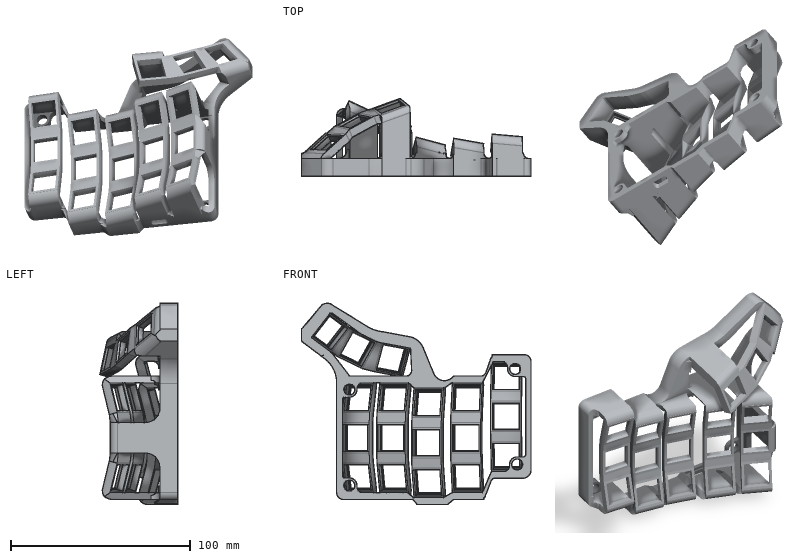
import cadquery as cq
import math

PLATE = 17.0
PLATE_THICK = 5.0
SWITCH_HOLE = 14.0
RECESS = 15.0
CLIP_THICK = 1.5
HALF = PLATE / 2

COLUMNS = [
    ((30.0, 29.5, 37.17), -25),
    ((49.8, 21.5, 37.17), -20),
    ((69.5, 10.1, 34.42), -15),
    ((91.4, 10.0, 37.17), -10),
    ((113.7, 12.95, 49.05), -5),
]
ROW_ANGLE = 15.0
COLUMN_RADIUS = 86.4
WALL = 3.85
ROW_SIN = math.sin(math.radians(ROW_ANGLE))
ROW_COS = math.cos(math.radians(ROW_ANGLE))
COLUMN_OVERHANG = (WALL + PLATE_THICK * ROW_SIN) / ROW_COS
COLUMN_REACH = COLUMN_RADIUS * ROW_SIN + HALF * ROW_COS

THUMB_KEYS = [
    ((16.25, 14.9, 95.6), 42.3, 28.7, 25.8),
    ((31.1, 26.2, 86.4), 28.4, 23.3, 18.7),
    ((50.6, 34.25, 80.5), 20.0, 10.0, 16.0),
]
THUMB_OVERHANG = 5.25

RIM_DEPTH = 10.0
EDGE_ROUND = 5.0
LEFT_THUMB_ROUND = 7.0
UPPER_THUMB_ROUND = 4.0
LEAN = 1.0
WALL_FILLET = 3.0
FIRST_WALL_FILLET = 5.0
FAR = 60.0
FLATNESS = 1e-4
CUT_MARGIN = 0.5

OPENING_LEFT = 22.9
OPENING_RIGHT = 124.8

LEFT_SIDE = 19.55
RIGHT_SIDE = 127.86
LEFT_WALL_X = (LEFT_SIDE, OPENING_LEFT)
LEFT_WALL_ROUND_RISE = 4.0
LEFT_WALL_WEB_TIP = 0.4
LEFT_WALL_FILLET = 8.0

SCREW_HOLE = 6.0
BOSS_RADIUS = 4.3
BOSS_LONG_COVE = 2.4
BOSS_SHORT_COVE = 1.2
LEFT_BOSS_DEPTH = 2.7
RIGHT_BOSS_DEPTH = 4.5

BOARD_SLOT_X = (42.4, 59.0)
BOARD_SLOT_Y = (2.2, 5.8)
BOARD_SLOT_DEPTH = 1.5
PORT_X = (47.5, 56.5)
PORT_Y = (3.0, 7.7)
PORT_ROUND = 1.5
FLOOR_Z = COLUMNS[0][0][2] - COLUMN_REACH
UPPER_Z = COLUMNS[0][0][2] + COLUMN_REACH
LAST_FLOOR_Z = COLUMNS[4][0][2] - COLUMN_REACH
LAST_UPPER_Z = COLUMNS[4][0][2] + COLUMN_REACH

TOP_EDGE = ((-HALF, HALF), (HALF, HALF))
BOTTOM_EDGE = ((-HALF, -HALF), (HALF, -HALF))
LEFT_EDGE = ((-HALF, -HALF), (-HALF, HALF))
RIGHT_EDGE = ((HALF, -HALF), (HALF, HALF))

SCREWS = [
    ((26.7, 64.0), (OPENING_LEFT, UPPER_Z), LEFT_BOSS_DEPTH),
    ((26.7, 10.6), (OPENING_LEFT, FLOOR_Z), LEFT_BOSS_DEPTH),
    ((119.0, 75.5), (OPENING_RIGHT, LAST_UPPER_Z), RIGHT_BOSS_DEPTH),
    ((120.1, 22.3), (OPENING_RIGHT, LAST_FLOOR_Z), RIGHT_BOSS_DEPTH),
]


def key_frame(center, yaw, roll=0.0, pitch=0.0):
    """Frame of a key plate: local x across, local y up, local z out of the inner face."""
    cy, sy = math.cos(math.radians(yaw)), math.sin(math.radians(yaw))
    cr, sr = math.cos(math.radians(roll)), math.sin(math.radians(roll))
    cp, sp = math.cos(math.radians(pitch)), math.sin(math.radians(pitch))
    across = cq.Vector(cy * cr, sy * cr, -sr)
    up = cq.Vector(cy * sr * cp + sy * sp, sy * sr * cp - cy * sp, cr * cp)
    return cq.Plane(origin=center, xDir=across, normal=across.cross(up))


def column_frames(center, yaw):
    """Frames of the lower, middle and upper key of a finger column."""
    frames = []
    for row in (-1, 0, 1):
        turn = math.radians(row * ROW_ANGLE)
        back = COLUMN_RADIUS * (1 - math.cos(turn))
        rise = COLUMN_RADIUS * math.sin(turn)
        x = center[0] - back * math.sin(math.radians(yaw))
        y = center[1] + back * math.cos(math.radians(yaw))
        frames.append(key_frame((x, y, center[2] + rise), yaw, pitch=-row * ROW_ANGLE))
    return frames


finger_columns = [column_frames(center, yaw) for center, yaw in COLUMNS]
thumb_frames = [key_frame(*key) for key in THUMB_KEYS]
all_frames = [frame for column in finger_columns for frame in column] + thumb_frames


def at(frame, x, up, depth=0.0):
    """Point on a plate, `depth` behind its inner face."""
    return frame.toWorldCoords((x, up, -depth))


def solid_between(first, second):
    """Solid whose two ends are matching convex polygons, joined by flat or ruled sides."""
    def polygon(points):
        return cq.Face.makeFromWires(cq.Wire.makePolygon(points, close=True))

    def is_flat(quad):
        normal = (quad[1] - quad[0]).cross(quad[3] - quad[0]).normalized()
        return abs(normal.dot(quad[2] - quad[0])) < FLATNESS

    faces = [polygon(first), polygon(second)]
    for i in range(len(first)):
        j = (i + 1) % len(first)
        quad = [first[i], first[j], second[j], second[i]]
        if is_flat(quad):
            faces.append(polygon(quad))
        else:
            faces.append(cq.Face.makeRuledSurface(
                cq.Edge.makeLine(first[i], first[j]), cq.Edge.makeLine(second[i], second[j])
            ))
    solid = cq.Solid.makeSolid(cq.Shell.makeShell(faces))
    return cq.Workplane(solid.fix())


def plate_blank(frame):
    return cq.Workplane(frame).rect(PLATE, PLATE).extrude(-PLATE_THICK)


def plate_opening(frame):
    hole = cq.Workplane(frame).rect(SWITCH_HOLE, SWITCH_HOLE).extrude(-PLATE_THICK)
    recess = cq.Workplane(frame).rect(RECESS, RECESS).extrude(CLIP_THICK - PLATE_THICK)
    return hole.union(recess)


def side_face(frame, corners):
    """Corners of a plate's side face between two points of its outline."""
    (xa, ua), (xb, ub) = corners
    inner = [at(frame, xa, ua), at(frame, xb, ub)]
    return inner + [at(frame, xb, ub, PLATE_THICK), at(frame, xa, ua, PLATE_THICK)]


def edge_rounding(start, end, dir_a, dir_b, radius):
    """Cutter that rounds the straight outer edge between two faces running along dir_a and dir_b."""
    along = (end - start).normalized()
    ta = (dir_a - along * dir_a.dot(along)).normalized()
    tb = (dir_b - along * dir_b.dot(along)).normalized()
    half_angle = ta.getAngle(tb) / 2
    bisector = (ta + tb).normalized()
    overlap = PLATE_THICK
    start = start - along * overlap
    tangent = radius / math.tan(half_angle)
    mid = start + bisector * (radius / math.sin(half_angle) - radius)
    a, b = start + ta * tangent, start + tb * tangent
    tip = start - bisector * CUT_MARGIN
    edges = [
        cq.Edge.makeThreePointArc(a, mid, b),
        cq.Edge.makeLine(b, tip),
        cq.Edge.makeLine(tip, a),
    ]
    section = cq.Wire.assembleEdges(edges)
    length = (end - start).dot(along) + overlap
    return cq.Workplane(cq.Solid.extrudeLinear(section, [], along * length))


def wall(frame, inner, outer, inward, radius=EDGE_ROUND):
    """Wall running from a plate's edge to the base plane, with a rounded outer edge.

    `inner` is the plate's edge on the inner face, `outer` the corner line on the outer face,
    `inward` the local direction from the corner line back over the plate.
    """
    (ia, ib), (oa, ob) = inner, outer
    pa, pb = at(frame, *ia), at(frame, *ib)
    ba, bb = at(frame, *ia, PLATE_THICK), at(frame, *ib, PLATE_THICK)
    ca, cb = at(frame, *oa, PLATE_THICK), at(frame, *ob, PLATE_THICK)
    miter = [pa, pb, cb, ca]
    foot = [cq.Vector(p.x, 0, p.z) for p in miter]
    body = solid_between(miter, foot)
    wedge = solid_between([pa, ba, ca], [pb, bb, cb])
    back_over_plate = frame.toWorldCoords(inward) - frame.origin
    rounding = edge_rounding(ca, cb, back_over_plate, cq.Vector(0, -1, 0), radius)
    return body.union(wedge).cut(rounding)


def level_wall(frame, side, overhang, radius=EDGE_ROUND):
    """Wall on the upper (side = 1) or lower (side = -1) edge of a plate."""
    edge, corner = side * HALF, side * (HALF + overhang)
    return wall(
        frame,
        ((-HALF, edge), (HALF, edge)),
        ((-HALF, corner), (HALF, corner)),
        (0, -side, 0),
        radius,
    )


def chain(frames, first_edge, second_edge):
    """Plates of a row of keys and the links that join them."""
    body = plate_blank(frames[0])
    for before, after in zip(frames, frames[1:]):
        link = solid_between(side_face(before, first_edge), side_face(after, second_edge))
        body = body.union(link).union(plate_blank(after))
    return body


def outline_prism(outline, depth):
    """Extrude an XZ outline from the base plane to y = depth."""
    return outline.extrude(-depth)


def rim_outline():
    """Outer outline of the rim."""
    return (
        cq.Workplane("XZ")
        .moveTo(0, 90.9).lineTo(0, 97.65).lineTo(11.3, 111.0)
        .threePointArc((14.1, 112.07), (17.6, 110.9))
        .lineTo(37.6, 98.6)
        .threePointArc((40.9, 97.2), (45.2, 96.2))
        .lineTo(61.1, 93.3)
        .threePointArc((65.6, 90.6), (68.3, 86.1))
        .lineTo(73.6, 73.3)
        .threePointArc((78.6, 69.1), (84.7, UPPER_Z + WALL))
        .lineTo(100.0, UPPER_Z + WALL)
        .threePointArc((101.8, 72.3), (102.8, 74.0))
        .lineTo(105.1, 80.6)
        .threePointArc((106.5, 82.7), (108.9, LAST_UPPER_Z + WALL))
        .lineTo(124.0, LAST_UPPER_Z + WALL)
        .threePointArc((126.73, 82.37), (RIGHT_SIDE, 79.6))
        .lineTo(RIGHT_SIDE, 19.2)
        .threePointArc((126.54, 16.02), (123.3, LAST_FLOOR_Z - WALL))
        .lineTo(107.8, LAST_FLOOR_Z - WALL)
        .threePointArc((106.5, 14.2), (105.6, 13.0))
        .lineTo(102.4, 4.8)
        .threePointArc((101.4, 3.3), (99.7, FLOOR_Z - WALL))
        .lineTo(84.7, FLOOR_Z - WALL).lineTo(81.3, 0).lineTo(64.5, 0).lineTo(62.0, FLOOR_Z - WALL)
        .lineTo(23.5, FLOOR_Z - WALL)
        .threePointArc((20.7, 3.9), (LEFT_SIDE, 6.75))
        .lineTo(LEFT_SIDE, 67.3)
        .threePointArc((18.2, 74.5), (13.3, 80.9))
        .close()
    )


def main_opening():
    """Opening of the rim behind the finger columns."""
    middle_z = COLUMNS[2][0][2]
    middle_floor, middle_top = middle_z - COLUMN_REACH, middle_z + COLUMN_REACH
    return (
        cq.Workplane("XZ")
        .moveTo(OPENING_LEFT, FLOOR_Z).lineTo(59.5, FLOOR_Z)
        .lineTo(62.5, middle_floor).lineTo(78.9, middle_floor)
        .lineTo(83.7, FLOOR_Z).lineTo(100.7, FLOOR_Z)
        .lineTo(105.7, LAST_FLOOR_Z).lineTo(OPENING_RIGHT, LAST_FLOOR_Z)
        .lineTo(OPENING_RIGHT, LAST_UPPER_Z).lineTo(106.8, LAST_UPPER_Z)
        .lineTo(100.9, UPPER_Z).lineTo(83.7, UPPER_Z)
        .lineTo(79.9, middle_top).lineTo(62.35, middle_top)
        .lineTo(59.65, UPPER_Z).lineTo(OPENING_LEFT, UPPER_Z).close()
    )


def thumb_opening():
    """Opening of the rim behind the thumb keys."""
    return (
        cq.Workplane("XZ")
        .moveTo(26.9, UPPER_Z + WALL).lineTo(58.2, UPPER_Z + WALL)
        .threePointArc((60.4, 72.5), (61.3, 74.7))
        .lineTo(60.7, 87.1).lineTo(44.6, 89.9).lineTo(41.5, 90.9).lineTo(32.8, 95.2).lineTo(17.1, 106.5)
        .lineTo(16.0, 106.6).lineTo(5.4, 92.85).lineTo(17.0, 84.4).close()
    )


def rim_prism(depth):
    """Rim between its outline and its two openings."""
    return (
        outline_prism(rim_outline(), depth)
        .cut(outline_prism(main_opening(), depth))
        .cut(outline_prism(thumb_opening(), depth))
    )


def boss(center, corner, depth):
    """Corner fill of the main opening around a screw hole, with coved flanks."""
    cx, cz = center
    x_wall, z_wall = corner
    sx = math.copysign(1, cx - x_wall)
    sz = math.copysign(1, cz - z_wall)
    r = BOSS_RADIUS
    diagonal = r * math.sqrt(0.5)
    long_cove, short_cove = BOSS_LONG_COVE, BOSS_SHORT_COVE
    flank_x = cx + sx * r
    return (
        cq.Workplane("XZ")
        .moveTo(x_wall, z_wall)
        .lineTo(flank_x + sx * long_cove, z_wall)
        .threePointArc((flank_x + sx * long_cove / 3, z_wall + sz * long_cove / 2), (flank_x, cz))
        .threePointArc((cx + sx * diagonal, cz + sz * diagonal), (cx, cz + sz * r))
        .lineTo(x_wall + sx * short_cove, cz + sz * r)
        .threePointArc(
            (x_wall + sx * short_cove / 3, cz + sz * (r + short_cove / 3)),
            (x_wall, cz + sz * (r + short_cove)),
        )
        .close()
        .extrude(-depth)
    )


def fillet_profile(x, direction, r):
    """Cove in the XY plane from the rim's back up the side of a wall at x."""
    bend = r * (1 - math.sqrt(0.5))
    return (
        cq.Workplane("XY")
        .moveTo(x - direction, RIM_DEPTH - CUT_MARGIN).lineTo(x + direction * r, RIM_DEPTH - CUT_MARGIN)
        .lineTo(x + direction * r, RIM_DEPTH)
        .threePointArc((x + direction * bend, RIM_DEPTH + bend), (x, RIM_DEPTH + r))
        .lineTo(x - direction, RIM_DEPTH + r).close()
    )


def thumb_walls():
    """Left and lower walls of the outermost thumb key and upper wall of the innermost one."""
    outer = HALF + THUMB_OVERHANG
    first, last = thumb_frames[0], thumb_frames[-1]
    left = wall(
        first,
        ((-HALF, -HALF), (-HALF, HALF)),
        ((-outer, -outer), (-outer, HALF)),
        (1, 0, 0),
        LEFT_THUMB_ROUND,
    )
    lower = wall(
        first,
        ((-HALF, -HALF), (HALF, -HALF)),
        ((-outer, -outer), (HALF, -outer)),
        (0, 1, 0),
    )
    corner = left.union(lower).intersect(outline_prism(rim_outline(), FAR))
    return corner.union(level_wall(last, 1, THUMB_OVERHANG, UPPER_THUMB_ROUND))


def left_wall():
    """Wall from the middle key of the first column to the rim, with coves at its foot."""
    lower, middle, upper = finger_columns[0]
    front = at(middle, -HALF, 0)
    back = at(middle, -HALF, 0, PLATE_THICK)
    outer_x, inner_x = LEFT_WALL_X
    panel = (
        cq.Workplane("XY").workplane(offset=middle.origin.z - HALF)
        .moveTo(back.x, back.y).lineTo(front.x, front.y).lineTo(inner_x, front.y - CUT_MARGIN)
        .lineTo(inner_x, 0).lineTo(outer_x, 0).lineTo(outer_x, back.y - LEFT_WALL_ROUND_RISE)
        .tangentArcPoint((back.x, back.y), relative=False)
        .close()
        .extrude(PLATE)
    )
    for side, neighbour in ((-1, lower), (1, upper)):
        base = [
            at(middle, -HALF, side * HALF),
            at(middle, -HALF, side * HALF, PLATE_THICK),
            cq.Vector(outer_x, back.y - LEFT_WALL_ROUND_RISE, middle.origin.z + side * HALF),
        ]
        edge = -side * HALF
        tip = [
            at(neighbour, -HALF, edge),
            at(neighbour, -HALF, edge, PLATE_THICK),
            at(neighbour, -HALF - LEFT_WALL_WEB_TIP, edge, PLATE_THICK / 2),
        ]
        panel = panel.union(solid_between(base, tip))
    r = LEFT_WALL_FILLET
    bend = r * (1 - math.sqrt(0.5))
    for side in (-1, 1):
        z = middle.origin.z + side * HALF
        cove = (
            cq.Workplane("YZ").workplane(offset=outer_x)
            .moveTo(RIM_DEPTH, z).lineTo(RIM_DEPTH + r, z)
            .threePointArc((RIM_DEPTH + bend, z + side * bend), (RIM_DEPTH, z + side * r))
            .close()
            .extrude(inner_x - outer_x)
        )
        panel = panel.union(cove)
    return panel


def wall_fillets():
    """Coves beside the walls; they follow the course of the rim."""
    profiles = []
    for column in finger_columns:
        for side, frame in ((-1, column[0]), (1, column[2])):
            left = at(frame, -HALF, side * HALF)
            right = at(frame, HALF, side * HALF)
            left_radius = FIRST_WALL_FILLET if column is finger_columns[0] else WALL_FILLET
            profiles.append((left.x + LEAN, -1, left_radius, left.z - WALL))
            profiles.append((right.x + LEAN, 1, WALL_FILLET, left.z - WALL))
    for end, direction in ((-HALF, -1), (HALF, 1)):
        corner = at(thumb_frames[-1], end, HALF)
        profiles.append((corner.x, direction, WALL_FILLET, corner.z - WALL))
    coves = cq.Workplane("XY")
    for x, direction, radius, base in profiles:
        coves = coves.add(fillet_profile(x, direction, radius).extrude(2 * WALL).translate((0, 0, base)))
    return coves.combine().intersect(rim_prism(RIM_DEPTH + FIRST_WALL_FILLET))


def column_walls():
    """Walls below and above every finger column."""
    walls = cq.Workplane("XY")
    for lower, _, upper in finger_columns:
        walls = walls.add(level_wall(lower, -1, COLUMN_OVERHANG))
        walls = walls.add(level_wall(upper, 1, COLUMN_OVERHANG))
    return walls.combine()


def board_openings():
    """Slot for a circuit board in the lower wall and the connector port through that wall."""
    slot_size = (BOARD_SLOT_X[1] - BOARD_SLOT_X[0], BOARD_SLOT_Y[1] - BOARD_SLOT_Y[0])
    port_size = (PORT_X[1] - PORT_X[0], PORT_Y[1] - PORT_Y[0])
    slot = (
        cq.Workplane("XY")
        .box(*slot_size, BOARD_SLOT_DEPTH, centered=False)
        .translate((BOARD_SLOT_X[0], BOARD_SLOT_Y[0], FLOOR_Z - BOARD_SLOT_DEPTH))
    )
    port = (
        cq.Workplane("XY")
        .box(*port_size, FLOOR_Z, centered=False)
        .edges("|Z").fillet(PORT_ROUND)
        .translate((PORT_X[0], PORT_Y[0], 0))
    )
    return slot.union(port)


body = rim_prism(RIM_DEPTH).union(column_walls()).union(thumb_walls())
body = body.union(left_wall()).union(wall_fillets())
for column in finger_columns:
    body = body.union(chain(column, TOP_EDGE, BOTTOM_EDGE))
body = body.union(chain(thumb_frames, RIGHT_EDGE, LEFT_EDGE))
for center, corner, depth in SCREWS:
    body = body.union(boss(center, corner, depth))
for center, _, _ in SCREWS:
    body = body.cut(cq.Workplane("XZ").center(*center).circle(SCREW_HOLE / 2).extrude(-RIM_DEPTH))
for frame in all_frames:
    body = body.cut(plate_opening(frame))
result = body.cut(board_openings())